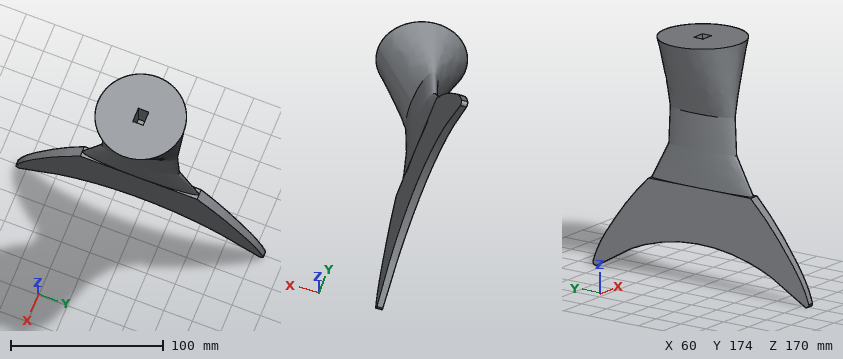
import cadquery as cq
import math

total_height = 170.0
neck_top_z = 119.0
neck_bottom_z = 93.3
blade_top_z = 67.5

head_diameter = 60.0
neck_top_size = (14.0, 51.5)
neck_bottom_size = (10.5, 54.3)
blade_top_size = (7.3, 82.1)
blade_tip_thickness = 4.2

blade_span = 174.0
tip_radius = 2.6
outer_edge = [(59.2, 47.9), (70.5, 32.9), (81.3, 16.2)]
hollow_top_z = 28.9
hollow_end = (57.5, 15.8)

socket_x = 10.0
socket_y = 7.3
socket_depth = 20.0


def elliptical_transition(lower_z, lower_size, upper_z, upper_size):
    """Straight-sided loft between two centred elliptical sections."""
    return (
        cq.Workplane("XY", origin=(0, 0, lower_z))
        .ellipse(lower_size[0] / 2, lower_size[1] / 2)
        .workplane(offset=upper_z - lower_z)
        .ellipse(upper_size[0] / 2, upper_size[1] / 2)
        .loft(ruled=True)
    )


def make_blade():
    """Crescent blade that thins from its top edge to its two tips."""
    shoulder_y = blade_top_size[1] / 2
    tip_y = blade_span / 2
    top_half = blade_top_size[0] / 2
    tip_half = blade_tip_thickness / 2
    tip_bottom_y = tip_y - tip_radius
    tip_middle_y = tip_bottom_y + tip_radius * math.sin(math.radians(45))
    tip_middle_z = tip_radius * (1 - math.cos(math.radians(45)))
    right_edge = outer_edge + [(tip_y, tip_radius)]
    left_edge = [(-y, z) for y, z in reversed(outer_edge)] + [(-shoulder_y, blade_top_z)]
    crescent = (
        cq.Workplane("YZ", origin=(-top_half, 0, 0))
        .moveTo(-shoulder_y, blade_top_z)
        .lineTo(shoulder_y, blade_top_z)
        .spline(right_edge, includeCurrent=True)
        .threePointArc((tip_middle_y, tip_middle_z), (tip_bottom_y, 0))
        .lineTo(*hollow_end)
        .threePointArc((0, hollow_top_z), (-hollow_end[0], hollow_end[1]))
        .lineTo(-tip_bottom_y, 0)
        .threePointArc((-tip_middle_y, tip_middle_z), (-tip_y, tip_radius))
        .spline(left_edge, includeCurrent=True)
        .close()
        .extrude(2 * top_half)
    )
    taper = (
        cq.Workplane("XZ", origin=(0, blade_span, 0))
        .polyline([
            (-tip_half, 0),
            (tip_half, 0),
            (top_half, blade_top_z),
            (-top_half, blade_top_z),
        ])
        .close()
        .extrude(2 * blade_span)
    )
    return crescent.intersect(taper)


sections = [
    (blade_top_z, blade_top_size),
    (neck_bottom_z, neck_bottom_size),
    (neck_top_z, neck_top_size),
    (total_height, (head_diameter, head_diameter)),
]

result = make_blade()
for lower, upper in zip(sections, sections[1:]):
    result = result.union(elliptical_transition(*lower, *upper))

socket = (
    cq.Workplane("XY", origin=(0, 0, total_height))
    .rect(socket_x, socket_y)
    .extrude(-socket_depth)
)
result = result.cut(socket)